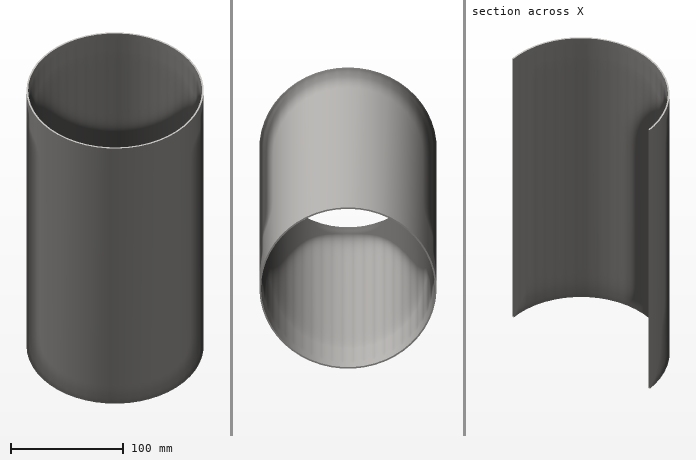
import cadquery as cq

height = 299.3
outer_diameter = 157.0
wall_thickness = 1.5

inner_diameter = outer_diameter - 2 * wall_thickness

result = (
    cq.Workplane("XY")
    .circle(outer_diameter / 2)
    .circle(inner_diameter / 2)
    .extrude(height)
)